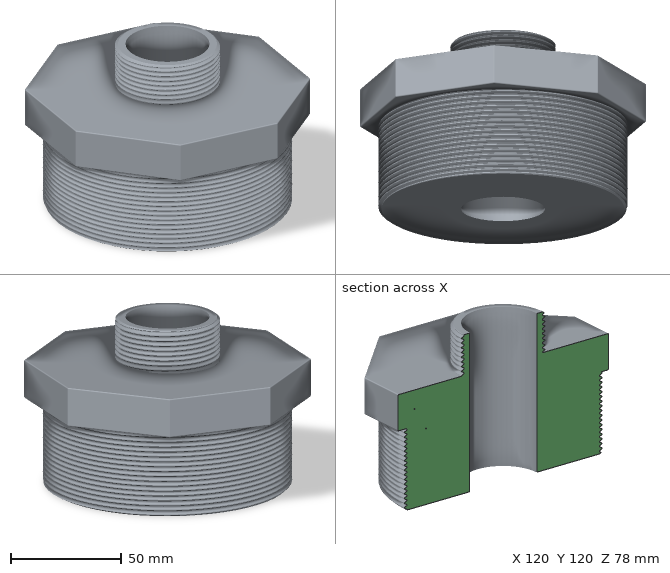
import cadquery as cq
import math


large_length = 40.0
flange_height = 18.0
small_length = 20.0
flange_top = large_length + flange_height
total_height = flange_top + small_length

flange_sides = 8
flange_across_flats = 120.0
flange_edge_radius = 0.5

bore_diameter = 38.0

thread_pitch = 25.4 / 11
thread_depth = 1.48
flank_angle = 27.5
flank_rise = thread_depth * math.tan(math.radians(flank_angle))
crest_width = (thread_pitch - 2 * flank_rise) / 2
tooth_width = crest_width + 2 * flank_rise
crest_clearance = 0.01
root_overlap = 0.1

lead_in_angle = 60.0
lead_in_height = thread_depth / math.tan(math.radians(lead_in_angle))

large_root_diameter = 110.07
small_root_diameter = 44.84

large_tooth_rise = 0.9
small_tooth_drop = 0.65

large_thread_start = large_tooth_rise - thread_pitch
small_thread_start = flange_top - small_tooth_drop


def octagon_flange():
    """Regular octagon with flats facing +-X and +-Y and all edges lightly rounded."""
    half_side_angle = 180 / flange_sides
    across_corners = flange_across_flats / math.cos(math.radians(half_side_angle))
    flange = (
        cq.Workplane("XY", origin=(0, 0, large_length))
        .polygon(flange_sides, across_corners)
        .extrude(flange_height)
        .rotate((0, 0, 0), (0, 0, 1), half_side_angle)
    )
    return flange.edges().fillet(flange_edge_radius)


def thread_ridge(root_diameter, start_z, end_z):
    """Right-hand helical tooth, as a solid, whose centre line climbs from start_z to end_z."""
    root_radius = root_diameter / 2
    crest_radius = root_radius + thread_depth
    buried_radius = root_radius - root_overlap
    buried_half_width = crest_width / 2 + (thread_depth + root_overlap) * math.tan(math.radians(flank_angle))
    profile = [
        (buried_radius, -buried_half_width),
        (crest_radius, -crest_width / 2),
        (crest_radius, crest_width / 2),
        (buried_radius, buried_half_width),
    ]

    edges = []
    for radius, offset_z in profile:
        helix = cq.Wire.makeHelix(thread_pitch, end_z - start_z, radius)
        edges.append(helix.translate(cq.Vector(0, 0, start_z + offset_z)).Edges()[0])

    faces = []
    for index, edge in enumerate(edges):
        next_edge = edges[(index + 1) % len(edges)]
        faces.append(cq.Face.makeRuledSurface(edge, next_edge))
    for end in (0, 1):
        corners = [edge.positionAt(end) for edge in edges]
        faces.append(cq.Face.makeFromWires(cq.Wire.makePolygon(corners, close=True)))
    return cq.Workplane(cq.Solid.makeSolid(cq.Shell.makeShell(faces)))


def cylinder(diameter, bottom, top):
    """Solid cylinder on the Z axis between two heights."""
    return cq.Workplane("XY", origin=(0, 0, bottom)).circle(diameter / 2).extrude(top - bottom)


def lead_in_envelope(root_diameter, bottom, top, free_end_face):
    """Cylinder around the thread crests, with the lead-in cone at its free end."""
    lead_in_depth = thread_depth + crest_clearance
    envelope_diameter = root_diameter + 2 * lead_in_depth
    envelope = cylinder(envelope_diameter, bottom, top)
    return envelope.faces(free_end_face).edges().chamfer(lead_in_height, lead_in_depth)


def threaded_end(root_diameter, bottom, top, thread_start, thread_end, free_end_face):
    """Cylindrical core with its helical thread, trimmed to the end faces and the lead-in cone."""
    long_core = cylinder(root_diameter, bottom - thread_pitch, top + thread_pitch)
    envelope = lead_in_envelope(root_diameter, bottom, top, free_end_face)
    ridge = thread_ridge(root_diameter, thread_start, thread_end)
    return long_core.union(ridge, clean=False).intersect(envelope, clean=False)


large_end = threaded_end(
    large_root_diameter,
    bottom=0,
    top=large_length,
    thread_start=large_thread_start,
    thread_end=large_length + tooth_width / 2,
    free_end_face="<Z",
)
small_end = threaded_end(
    small_root_diameter,
    bottom=flange_top,
    top=total_height,
    thread_start=small_thread_start,
    thread_end=total_height + tooth_width / 2,
    free_end_face=">Z",
)
bore = cylinder(bore_diameter, 0, total_height)

result = octagon_flange().union(large_end, clean=False).union(small_end, clean=False).cut(bore, clean=False)